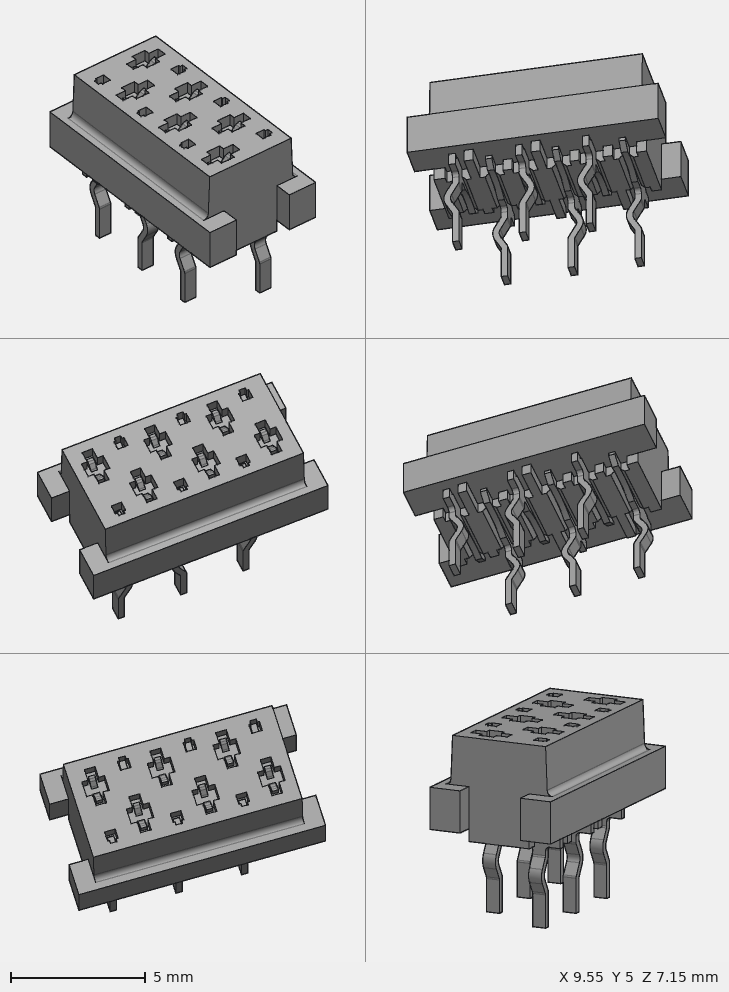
import cadquery as cq
import math

FLANGE_LENGTH = 9.55
FLANGE_WIDTH = 5.0
FLANGE_BOTTOM = 0.49
FLANGE_TOP = 2.1
END_NOTCH_WIDTH = 2.5
BODY_LENGTH = 8.08
BODY_TOP = 3.98
BODY_TOP_WIDTH = 3.86
BODY_FOOT_WIDTH = 3.99
BODY_FOOT_RADIUS = 0.22

CONTACT_COUNT = 6
PITCH = 1.27
ROW_OFFSET_X = 0.03
CONTACT_THICKNESS = 0.25
TAIL_Y = 1.27
BEND_DIRECTIONS = (-1, -1, 1, 1, -1, -1)

RIB_END_Y = 2.15
FRONT_RIB_GAPS = (0, 2)
POCKET_LENGTH = 0.93
POCKET_START_Y = 0.99
TROUGH_WIDTH = 0.55

SOCKET_Y = 0.75
SOCKET_DEPTH = 0.48
SLOT_WIDTH = 0.41
SLOT_LENGTH = 1.49
CROSS_WIDTH = 0.88
CROSS_LENGTH = 0.6

HOLE_INNER_Y = 1.09
HOLE_OUTER_Y = 1.46
ARM_INNER_Y = 1.165
ARM_OUTER_Y = 1.59
ARM_DROP = 0.43

TIP_GAP = 0.2
TIP_SPAN = 1.02
TIP_CREST_WIDTH = 0.1
TIP_LIP_WIDTH = 0.06
TIP_DROP = 0.2
TIP_CREST_DROP = 0.23
TIP_LEAD_IN_DROP = 0.28
TIP_LIP_DROP = 0.43

PLATE_BOTTOM = -0.07
PLATE_TOP = 0.41
PLATE_FRONT_Y = 2.15
SHOULDER_Y = 1.83
SHOULDER_CHAMFER = 0.07
PLATE_ROOT_Z = 0.76
ARCH_START_Y = 0.46
ARCH_Z = 0.13
HEEL_Y = 1.25
HEEL_Z = 0.09
PLATE_BACK_Y = 1.62
PLATE_BACK_Z = 0.35

TAIL_WIDTH = 0.535
TAIL_TIP_Z = -3.17
TAIL_FILLET = 0.16
BEND_Z = -1.15
BEND_BULGE = 0.32
BEND_RADIUS = 0.43
BEND_ANGLE = math.radians(30)
KINK_RADIUS = 0.14


def box(x_size, x_center, y_range, z_range):
    """Box given by its X size and centre and its Y and Z limits."""
    y_size = y_range[1] - y_range[0]
    z_size = z_range[1] - z_range[0]
    corner = (x_center - x_size / 2, y_range[0], z_range[0])
    return cq.Workplane("XY").box(x_size, y_size, z_size, centered=False).translate(corner)


def extrude_along_x(outline, length, x_center):
    """Extrude a YZ outline symmetrically about x_center."""
    return outline.close().extrude(length / 2, both=True).translate((x_center, 0, 0))


def make_flange():
    flange = box(FLANGE_LENGTH, 0, (-FLANGE_WIDTH / 2, FLANGE_WIDTH / 2), (FLANGE_BOTTOM, FLANGE_TOP))
    end_length = (FLANGE_LENGTH - BODY_LENGTH) / 2
    end_center = (FLANGE_LENGTH + BODY_LENGTH) / 4
    for side in (-1, 1):
        notch_y = (-END_NOTCH_WIDTH / 2, END_NOTCH_WIDTH / 2)
        flange = flange.cut(box(end_length, side * end_center, notch_y, (FLANGE_BOTTOM, FLANGE_TOP)))
    return flange


def make_upper_body():
    """Tapered block whose long sides sweep into the flange with a concave foot."""
    top_y = BODY_TOP_WIDTH / 2
    foot_y = BODY_FOOT_WIDTH / 2
    foot_end_y = foot_y + BODY_FOOT_RADIUS
    foot_z = FLANGE_TOP + BODY_FOOT_RADIUS
    reach = BODY_FOOT_RADIUS * math.cos(math.radians(45))
    mid_y = foot_end_y - reach
    mid_z = foot_z - reach
    outline = (
        cq.Workplane("YZ")
        .moveTo(-top_y, BODY_TOP)
        .lineTo(top_y, BODY_TOP)
        .lineTo(foot_y, foot_z)
        .threePointArc((mid_y, mid_z), (foot_end_y, FLANGE_TOP))
        .lineTo(-foot_end_y, FLANGE_TOP)
        .threePointArc((-mid_y, mid_z), (-foot_y, foot_z))
    )
    return extrude_along_x(outline, BODY_LENGTH, 0)


def make_base():
    """Base below the flange: a central block with contact pockets, and ribs that run on outward."""
    block_end_y = END_NOTCH_WIDTH / 2
    base = box(BODY_LENGTH, 0, (-block_end_y, block_end_y), (0, FLANGE_TOP))
    rib_length = PITCH - POCKET_LENGTH
    for gap in FRONT_RIB_GAPS:
        front_x = contact_x(gap) + PITCH / 2
        back_x = contact_x(CONTACT_COUNT - 1 - gap) - PITCH / 2
        base = base.union(box(rib_length, front_x, (-RIB_END_Y, -block_end_y), (0, FLANGE_BOTTOM)))
        base = base.union(box(rib_length, back_x, (block_end_y, RIB_END_Y), (0, FLANGE_BOTTOM)))
    for index in range(CONTACT_COUNT):
        x = contact_x(index)
        for pocket_y in ((POCKET_START_Y, block_end_y), (-block_end_y, -POCKET_START_Y)):
            base = base.cut(box(POCKET_LENGTH, x, pocket_y, (0, FLANGE_BOTTOM)))
        base = base.cut(make_trough(x))
    return base


def make_trough(x):
    """Chamfered groove along Y that narrows upward to the contact thickness."""
    half_bottom = TROUGH_WIDTH / 2
    half_top = CONTACT_THICKNESS / 2
    depth = half_bottom - half_top
    outline = [(-half_bottom, 0), (half_bottom, 0), (half_top, depth), (-half_top, depth)]
    trough = cq.Workplane("XZ").polyline(outline).close().extrude(POCKET_START_Y, both=True)
    return trough.translate((x, 0, 0))


def contact_x(index):
    return ROW_OFFSET_X + (index - (CONTACT_COUNT - 1) / 2) * PITCH


def make_cavities(x):
    socket_z = (BODY_TOP - SOCKET_DEPTH, BODY_TOP)
    slot_y = (SOCKET_Y - SLOT_LENGTH / 2, SOCKET_Y + SLOT_LENGTH / 2)
    cross_y = (SOCKET_Y - CROSS_LENGTH / 2, SOCKET_Y + CROSS_LENGTH / 2)
    slot = box(SLOT_WIDTH, x, slot_y, socket_z)
    cross = box(CROSS_WIDTH, x, cross_y, socket_z)
    hole = box(SLOT_WIDTH, x, (-HOLE_OUTER_Y, -HOLE_INNER_Y), socket_z)
    slit_y = (-ARM_OUTER_Y, -HOLE_INNER_Y)
    slit = box(CONTACT_THICKNESS, x, slit_y, (BODY_TOP - ARM_DROP, BODY_TOP))
    return slot.union(cross).union(hole).union(slit)


def make_tip(x, side):
    """One spring tip with a lead-in sloping down to the throat between the tips."""
    outer_y = SOCKET_Y + side * TIP_SPAN / 2
    throat_y = SOCKET_Y + side * TIP_GAP / 2
    floor_z = BODY_TOP - SOCKET_DEPTH
    outline = cq.Workplane("YZ").polyline([
        (outer_y, floor_z),
        (outer_y, BODY_TOP - TIP_DROP),
        (outer_y - side * TIP_CREST_WIDTH, BODY_TOP - TIP_CREST_DROP),
        (outer_y - side * 2 * TIP_CREST_WIDTH, BODY_TOP - TIP_LEAD_IN_DROP),
        (throat_y + side * TIP_LIP_WIDTH, BODY_TOP - TIP_LIP_DROP),
        (throat_y, floor_z),
    ])
    return extrude_along_x(outline, CONTACT_THICKNESS, x)


def make_plate(x):
    """Base plate of a contact with a filleted stub where the tail leaves it."""
    tail_front = -TAIL_Y - TAIL_WIDTH / 2
    tail_back = -TAIL_Y + TAIL_WIDTH / 2
    stub_z = PLATE_BOTTOM - TAIL_FILLET
    outline = (
        cq.Workplane("YZ")
        .moveTo(-PLATE_FRONT_Y, PLATE_TOP)
        .lineTo(-PLATE_FRONT_Y, PLATE_BOTTOM)
        .lineTo(tail_front - TAIL_FILLET, PLATE_BOTTOM)
        .radiusArc((tail_front, stub_z), TAIL_FILLET)
        .lineTo(tail_back, stub_z)
        .radiusArc((tail_back + TAIL_FILLET, PLATE_BOTTOM), TAIL_FILLET)
        .lineTo(-ARCH_START_Y, PLATE_BOTTOM)
        .threePointArc(((HEEL_Y - ARCH_START_Y) / 2, ARCH_Z), (HEEL_Y, HEEL_Z))
        .lineTo(PLATE_BACK_Y, PLATE_BACK_Z)
        .lineTo(PLATE_BACK_Y, PLATE_ROOT_Z)
        .lineTo(SHOULDER_CHAMFER - SHOULDER_Y, PLATE_ROOT_Z)
        .lineTo(SHOULDER_CHAMFER - SHOULDER_Y, PLATE_TOP + SHOULDER_CHAMFER)
        .lineTo(-SHOULDER_Y, PLATE_TOP)
    )
    return extrude_along_x(outline, CONTACT_THICKNESS, x)


def tail_edge(offset):
    """Kinks, tangent points and bend apex of the tail edge at an offset from its midline."""
    radius = BEND_RADIUS + offset
    center_x = BEND_BULGE - BEND_RADIUS
    tangent_x = center_x + radius * math.cos(BEND_ANGLE)
    tangent_rise = radius * math.sin(BEND_ANGLE)
    kink_rise = tangent_rise + (tangent_x - offset) / math.tan(BEND_ANGLE)
    return {
        "upper_kink": (offset, BEND_Z + kink_rise),
        "upper_tangent": (tangent_x, BEND_Z + tangent_rise),
        "apex": (center_x + radius, BEND_Z),
        "lower_tangent": (tangent_x, BEND_Z - tangent_rise),
        "lower_kink": (offset, BEND_Z - kink_rise),
    }


def make_tail(x, direction):
    """Solder tail with one rounded sideways bend toward the given X direction."""
    half = CONTACT_THICKNESS / 2
    outer = tail_edge(half)
    inner = tail_edge(-half)
    tail = (
        cq.Workplane("XZ")
        .moveTo(half, PLATE_BOTTOM)
        .lineTo(*outer["upper_kink"])
        .lineTo(*outer["upper_tangent"])
        .threePointArc(outer["apex"], outer["lower_tangent"])
        .lineTo(*outer["lower_kink"])
        .lineTo(half, TAIL_TIP_Z)
        .lineTo(-half, TAIL_TIP_Z)
        .lineTo(*inner["lower_kink"])
        .lineTo(*inner["lower_tangent"])
        .threePointArc(inner["apex"], inner["upper_tangent"])
        .lineTo(*inner["upper_kink"])
        .lineTo(-half, PLATE_BOTTOM)
        .close()
        .extrude(TAIL_WIDTH / 2, both=True)
    )
    kink_points = [edge[kink] for edge in (outer, inner) for kink in ("upper_kink", "lower_kink")]
    for kink_x, kink_z in kink_points:
        kink_edge = cq.NearestToPointSelector((kink_x, 0, kink_z))
        tail = tail.edges("|Y").edges(kink_edge).fillet(KINK_RADIUS)
    if direction < 0:
        tail = tail.mirror("YZ")
    return tail.translate((x, -TAIL_Y, 0))


def make_contact(x, direction):
    arm_z = (BODY_TOP - SOCKET_DEPTH, BODY_TOP - ARM_DROP)
    arm = box(CONTACT_THICKNESS, x, (-ARM_OUTER_Y, -ARM_INNER_Y), arm_z)
    contact = make_plate(x).union(make_tail(x, direction))
    return contact.union(arm).union(make_tip(x, -1)).union(make_tip(x, 1))


result = make_base().union(make_flange()).union(make_upper_body())
for contact_index, bend_direction in enumerate(BEND_DIRECTIONS):
    contact_center = contact_x(contact_index)
    cavities = make_cavities(contact_center)
    contact = make_contact(contact_center, bend_direction)
    if contact_index % 2 == 1:
        cavities = cavities.mirror("XZ")
        contact = contact.mirror("XZ")
    result = result.cut(cavities).union(contact)